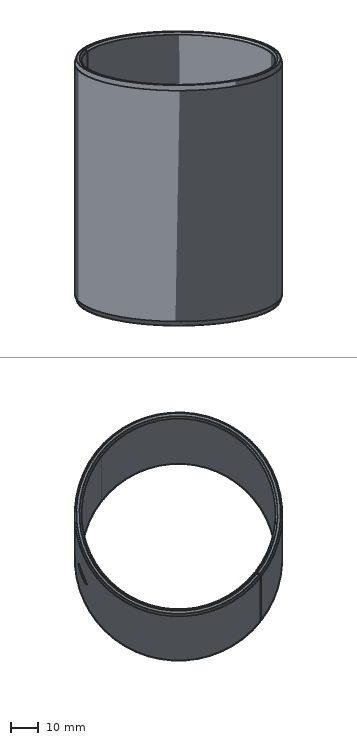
import cadquery as cq

length = 90.0
outer_diameter = 75.0
wall = 2.5
outer_chamfer_length = 1.8
outer_chamfer_depth = 0.6
inner_chamfer = 0.8
slit_width = 0.5
oil_hole_diameter = 8.0
oil_hole_angle = 59.0

outer_radius = outer_diameter / 2
inner_radius = outer_radius - wall


def make_sleeve():
    """Revolve the wall section, with its chamfered ends, about Z."""
    profile = [
        (inner_radius, inner_chamfer),
        (inner_radius + inner_chamfer, 0),
        (outer_radius - outer_chamfer_depth, 0),
        (outer_radius, outer_chamfer_length),
        (outer_radius, length - outer_chamfer_length),
        (outer_radius - outer_chamfer_depth, length),
        (inner_radius + inner_chamfer, length),
        (inner_radius, length - inner_chamfer),
    ]
    return cq.Workplane("XZ").polyline(profile).close().revolve(360, (0, 0), (0, 1))


def make_slit():
    """Full-length butt joint through the wall at -X, with one face on the XZ plane."""
    return cq.Workplane("XY").box(
        outer_diameter, slit_width, length, centered=(True, False, False)
    ).translate((-outer_radius, 0, 0))


def make_oil_hole():
    """Radial hole through one side of the wall at mid-length."""
    hole = cq.Workplane("YZ").center(0, length / 2).circle(oil_hole_diameter / 2).extrude(outer_diameter)
    return hole.rotate((0, 0, 0), (0, 0, 1), oil_hole_angle)


result = make_sleeve().cut(make_slit()).cut(make_oil_hole())